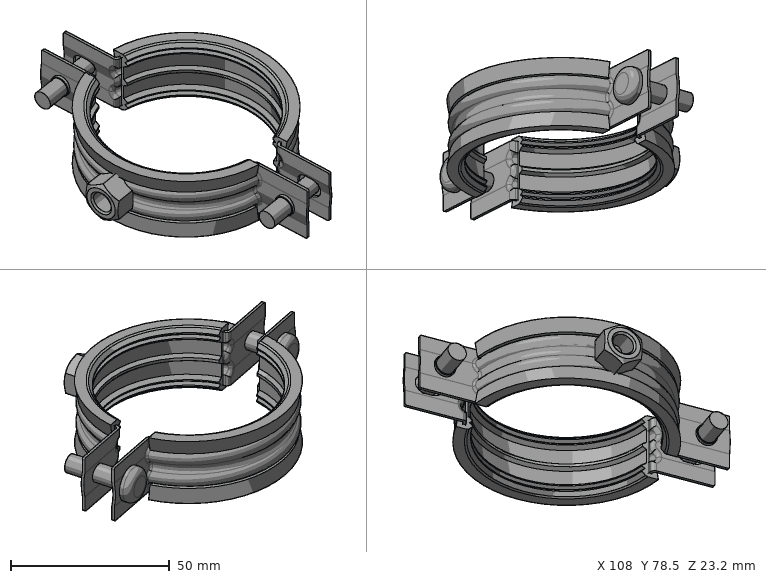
import cadquery as cq
overall_length = 108
ring_radius = 36.0
liner_width = 23.2

strip_width = 20.0
strip_thickness = 1.0
strip_inner_radius = 32.7
strip_outer_radius = strip_inner_radius + strip_thickness
bump_offset = 4.0
bump_edge = 6.5
bump_peak_radius = 35.5
valley_edge_radius = 34.3
valley_edge = 1.7
inner_bump_edge = 6.0
inner_valley_edge_radius = 33.5
inner_valley_edge = 2.4

ear_gap = 5.0
ear_outer = ear_gap + strip_thickness
ear_bead_edge = 4.4
ear_bead_rise = 0.4
ear_corner_radius = 0.6
bend_outer_radius = 1.5
bend_inner_radius = 0.9
bend_zone_start = 31.3
bend_zone_end = 35.6
face_margin = 0.1

liner_gap = 7.0
liner_edge_radius = 32.3
liner_bevel_radius = 31.5
liner_bevel_height = 0.3
flange_bottom_radius = 35.1
tooth_radius = 30.3
rib_radius = 30.6
notch_radius = 31.3
groove_radius = 31.9
lip_top = 10.0
lip_bottom = 9.6
notch_height = 8.7
tooth_top = 8.0
tooth_bottom = 7.6
groove_top = 6.5
groove_bottom = 1.4
rib_half_width = 0.5

screw_offset = 45.6
shank_radius = 3.19
screw_tip = -15.8
head_radius = 6.0
head_bottom = ear_outer + ear_bead_rise
head_top = 10.2
head_rounding = 2.5
collar_radius = 3.6
collar_end = 7.2
slot_radius = 3.6
slot_length = 9.3

nut_width = 13
nut_start = 34.6
nut_end = 42.5
nut_face_radius = 5.7
nut_chamfer_height = 1.03
bore_radius = 3.6
bore_chamfer = 0.6
nut_vent_radius = 1.8

HEX_CORNER_RATIO = 2 / 3 ** 0.5


def spin(outline):
    """Revolve a closed outline (radius, Z) once around the ring axis."""
    return outline.close().revolve(360, (0, 0), (0, 1))


def half_space(gap):
    """Block that holds everything beyond Y = gap."""
    size = 2 * overall_length
    return cq.Workplane("XY").box(size, size, size).translate((0, gap + size / 2, 0))


def y_cylinder(x, radius, start, end):
    """Cylinder along Y at Z = 0."""
    return cq.Workplane("XZ", origin=(x, start, 0)).circle(radius).extrude(start - end)


def strip_envelope():
    """Solid of revolution bounded by the outer face of the strip: two bumps and a valley."""
    top = strip_width / 2
    return spin(
        cq.Workplane("XZ")
        .moveTo(0, top)
        .lineTo(strip_outer_radius, top)
        .lineTo(strip_outer_radius, bump_edge)
        .threePointArc((bump_peak_radius, bump_offset), (valley_edge_radius, valley_edge))
        .threePointArc((strip_outer_radius, 0), (valley_edge_radius, -valley_edge))
        .threePointArc((bump_peak_radius, -bump_offset), (strip_outer_radius, -bump_edge))
        .lineTo(strip_outer_radius, -top)
        .lineTo(0, -top)
    )


def strip_core():
    """Solid of revolution bounded by the inner face of the strip, which follows the outer one."""
    top = liner_width / 2
    peak = bump_peak_radius - strip_thickness
    return spin(
        cq.Workplane("XZ")
        .moveTo(0, top)
        .lineTo(strip_inner_radius, top)
        .lineTo(strip_inner_radius, inner_bump_edge)
        .threePointArc((peak, bump_offset), (inner_valley_edge_radius, inner_valley_edge))
        .threePointArc((strip_inner_radius, 0), (inner_valley_edge_radius, -inner_valley_edge))
        .threePointArc((peak, -bump_offset), (strip_inner_radius, -inner_bump_edge))
        .lineTo(strip_inner_radius, -top)
        .lineTo(0, -top)
    )


def ear_slab():
    """Flat strip along X with a shallow bead along its middle."""
    top = strip_width / 2
    return (
        cq.Workplane("YZ", origin=(-overall_length / 2, 0, 0))
        .moveTo(ear_gap, top)
        .lineTo(ear_outer, top)
        .lineTo(ear_outer, ear_bead_edge)
        .threePointArc((ear_outer + ear_bead_rise, 0), (ear_outer, -ear_bead_edge))
        .lineTo(ear_outer, -top)
        .lineTo(ear_gap, -top)
        .lineTo(ear_gap, -ear_bead_edge)
        .threePointArc((ear_gap + ear_bead_rise, 0), (ear_gap, ear_bead_edge))
        .close()
        .extrude(overall_length)
        .edges("|Y")
        .fillet(ear_corner_radius)
    )


def round_bend(half, ear_face, radius):
    """Round the wavy edges along which both ears meet the ring near Y = ear_face."""
    for side in (-1, 1):
        near = (side * bend_zone_start, ear_face - face_margin, -strip_width)
        far = (side * bend_zone_end, ear_face + ear_bead_rise + face_margin, strip_width)
        half = half.edges(cq.selectors.BoxSelector(near, far)).edges("not(|X or |Y)").fillet(radius)
    return half


def clamp_half():
    """Half ring with an ear at each end, on the +Y side."""
    ring = strip_envelope().intersect(half_space((ear_gap + ear_outer) / 2))
    half = ear_slab().union(ring).cut(strip_core())
    half = round_bend(half, ear_outer, bend_inner_radius)
    return round_bend(half, ear_gap, bend_outer_radius)


def liner():
    """Half of the rubber liner on the +Y side: toothed inside, with flanges around the strip."""
    top = liner_width / 2
    strip_top = strip_width / 2
    upper = [
        (rib_radius, rib_half_width),
        (groove_radius, groove_bottom),
        (groove_radius, groove_top),
        (tooth_radius, tooth_bottom),
        (tooth_radius, tooth_top),
        (notch_radius, notch_height),
        (tooth_radius, lip_bottom),
        (tooth_radius, lip_top),
        (liner_bevel_radius, top - liner_bevel_height),
        (liner_edge_radius, top),
        (ring_radius, top),
        (flange_bottom_radius, bump_edge),
        (strip_outer_radius, bump_edge),
        (strip_outer_radius, strip_top),
        (strip_inner_radius, strip_top),
    ]
    lower = [(radius, -height) for radius, height in reversed(upper)]
    return spin(cq.Workplane("XZ").polyline(upper + lower)).intersect(half_space(liner_gap))


def screw(x):
    """Round-headed screw along Y."""
    shank = y_cylinder(x, shank_radius, screw_tip, head_bottom)
    head = y_cylinder(x, head_radius, head_bottom, head_top).faces(">Y").edges().fillet(head_rounding)
    return shank.union(head)


def ear_slot(x):
    """Cutter for the slot, long in X, that clears a screw in an upper ear."""
    return (
        cq.Workplane("XZ", origin=(x, head_top, 0)).slot2D(slot_length, 2 * slot_radius).extrude(head_top)
    )


def nut():
    """Hexagon nut whose base is shaped to the bumps of the strip."""
    corner = nut_width * HEX_CORNER_RATIO / 2
    hexagon = (
        cq.Workplane("XZ", origin=(0, -nut_start, 0))
        .polygon(6, 2 * corner)
        .extrude(nut_end - nut_start)
        .rotate((0, 0, 0), (0, 1, 0), 30)
    )
    cone = (
        cq.Workplane("XY")
        .moveTo(0, -nut_start)
        .lineTo(corner, -nut_start)
        .lineTo(corner, nut_chamfer_height - nut_end)
        .lineTo(nut_face_radius, -nut_end)
        .lineTo(0, -nut_end)
        .close()
        .revolve(360, (0, 0), (0, 1))
    )
    bore = y_cylinder(0, bore_radius, -nut_end, -nut_start)
    blank = hexagon.intersect(cone).cut(bore)
    bore_rim = blank.faces("<Y").edges("%CIRCLE").edges(cq.selectors.RadiusNthSelector(0))
    return bore_rim.chamfer(bore_chamfer).cut(strip_envelope())


screw_places = (-screw_offset, screw_offset)

upper_clamp = clamp_half()
lower_clamp = upper_clamp.mirror("XZ")
for x in screw_places:
    upper_clamp = upper_clamp.cut(ear_slot(x))
    lower_clamp = lower_clamp.union(y_cylinder(x, collar_radius, -collar_end, -ear_outer))
    lower_clamp = lower_clamp.cut(y_cylinder(x, shank_radius, screw_tip, 0))
lower_clamp = lower_clamp.cut(y_cylinder(0, nut_vent_radius, -nut_end, 0))

upper_liner = liner()
lower_liner = upper_liner.mirror("XZ")
connection_nut = nut()
screws = [screw(x).val() for x in screw_places]

result = cq.Compound.makeCompound(
    [
        upper_clamp.val(),
        lower_clamp.val(),
        upper_liner.val(),
        lower_liner.val(),
        connection_nut.val(),
        *screws,
    ]
)